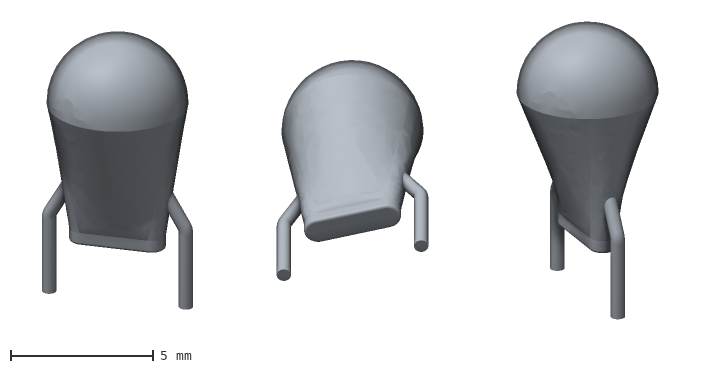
import cadquery as cq
import math

total_height = 10.1
head_diameter = 5.0
head_radius = head_diameter / 2
head_center_z = total_height - head_radius

foot_depth = 1.0
foot_end_spacing = head_radius
foot_length = foot_end_spacing + foot_depth
foot_bottom_z = 2.12
foot_height = 0.49
foot_top_z = foot_bottom_z + foot_height
foot_edge_radius = 0.11

lead_diameter = 0.5
lead_spacing = head_diameter
lead_straight_length = 2.86
lead_bend_radius = 0.5
lead_bend_angle = math.radians(30)
lead_slant_length = 2.02

mark_span = 1.68
mark_width = 0.56
mark_x = -head_radius / 2


def make_head():
    """Upper half of a sphere."""
    return cq.Workplane("XY", origin=(0, 0, head_center_z)).sphere(head_radius, angle1=0)


def make_foot():
    return (
        cq.Workplane("XY", origin=(0, 0, foot_bottom_z))
        .slot2D(foot_length, foot_depth)
        .extrude(foot_height)
        .faces("<Z")
        .edges()
        .fillet(foot_edge_radius)
    )


def four_arc_outline(z, corner_x, corner_y, end_x, side_y):
    """Closed outline with two long sides and two ends, each an arc or a straight side."""
    outline = cq.Workplane("XY", origin=(0, 0, z)).moveTo(-corner_x, -corner_y)
    if side_y > corner_y:
        outline = outline.threePointArc((0, -side_y), (corner_x, -corner_y))
    else:
        outline = outline.lineTo(corner_x, -corner_y)
    outline = outline.threePointArc((end_x, 0), (corner_x, corner_y))
    if side_y > corner_y:
        outline = outline.threePointArc((0, side_y), (-corner_x, corner_y))
    else:
        outline = outline.lineTo(-corner_x, corner_y)
    return outline.threePointArc((-end_x, 0), (-corner_x, -corner_y)).close().val()


def make_taper():
    """Ruled body between the foot outline and the head circle, matched corner to corner."""
    foot_corner_x = foot_end_spacing / 2
    foot_corner_y = foot_depth / 2
    corner_angle = math.atan2(foot_corner_y, foot_corner_x)
    head_corner_x = head_radius * math.cos(corner_angle)
    head_corner_y = head_radius * math.sin(corner_angle)
    lower = four_arc_outline(foot_top_z, foot_corner_x, foot_corner_y, foot_length / 2, foot_corner_y)
    upper = four_arc_outline(head_center_z, head_corner_x, head_corner_y, head_radius, head_radius)
    return cq.Workplane(cq.Solid.makeLoft([lower, upper], True))


def make_lead(side):
    """Round wire rising straight, then bending inward into the body; side is -1 or 1."""

    def bend_point(angle):
        inward = lead_bend_radius * (1 - math.cos(angle))
        rise = lead_bend_radius * math.sin(angle)
        return side * (lead_spacing / 2 - inward), lead_straight_length + rise

    bend_end_x, bend_end_z = bend_point(lead_bend_angle)
    slant_end = (
        bend_end_x - side * lead_slant_length * math.sin(lead_bend_angle),
        bend_end_z + lead_slant_length * math.cos(lead_bend_angle),
    )
    path = (
        cq.Workplane("XZ")
        .moveTo(side * lead_spacing / 2, 0)
        .lineTo(*bend_point(0))
        .threePointArc(bend_point(lead_bend_angle / 2), (bend_end_x, bend_end_z))
        .lineTo(*slant_end)
    )
    section = cq.Workplane("XY", origin=(side * lead_spacing / 2, 0, 0)).circle(lead_diameter / 2)
    return section.sweep(path)


def make_mark_prism():
    """Plus with rounded ends, running front to back through the whole body."""
    plane = cq.Workplane("XZ", origin=(mark_x, 0, head_center_z))
    level_bar = plane.slot2D(mark_span, mark_width).extrude(head_radius, both=True)
    upright_bar = plane.slot2D(mark_span, mark_width, 90).extrude(head_radius, both=True)
    return level_bar.union(upright_bar)


body = make_head().union(make_taper()).union(make_foot())
for lead_side in (-1, 1):
    body = body.union(make_lead(lead_side))

mark_prism = make_mark_prism()
mark_core = body.intersect(mark_prism)
result = body.cut(mark_prism).union(mark_core, clean=False)